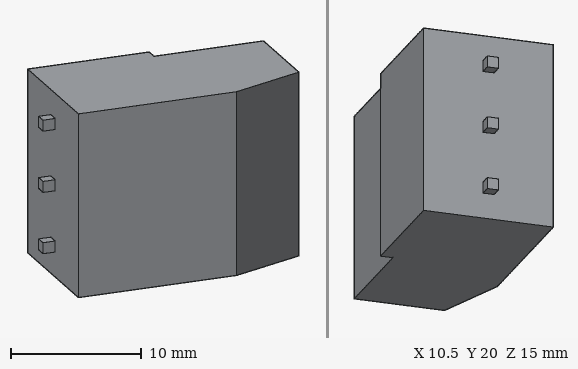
import cadquery as cq
import math

pole_count = 3
pole_pitch = 5.0
housing_width = 10.5
housing_depth = 19.0
housing_height = pole_count * pole_pitch
step_depth = 1.0
step_position = 10.0
slant_length = 6.0
slant_angle = 20.0
slant_width = slant_length * math.tan(math.radians(slant_angle))

pin_side = 0.9
pin_length = 1.0


def make_housing():
    """Housing with its left step and slanted corner, centred on X and Z."""
    left = -housing_width / 2
    right = housing_width / 2
    outline = [
        (left, 0),
        (right, 0),
        (right, housing_depth - slant_length),
        (right - slant_width, housing_depth),
        (left + step_depth, housing_depth),
        (left + step_depth, step_position),
        (left, step_position),
    ]
    return (
        cq.Workplane("XY")
        .workplane(offset=-housing_height / 2)
        .polyline(outline)
        .close()
        .extrude(housing_height)
    )


def make_pins():
    """Column of pins along Z, reaching from the housing face at Y = 0 towards -Y."""
    return (
        cq.Workplane("XZ")
        .rarray(pole_pitch, pole_pitch, 1, pole_count)
        .rect(pin_side, pin_side)
        .extrude(pin_length)
    )


result = make_housing().union(make_pins())